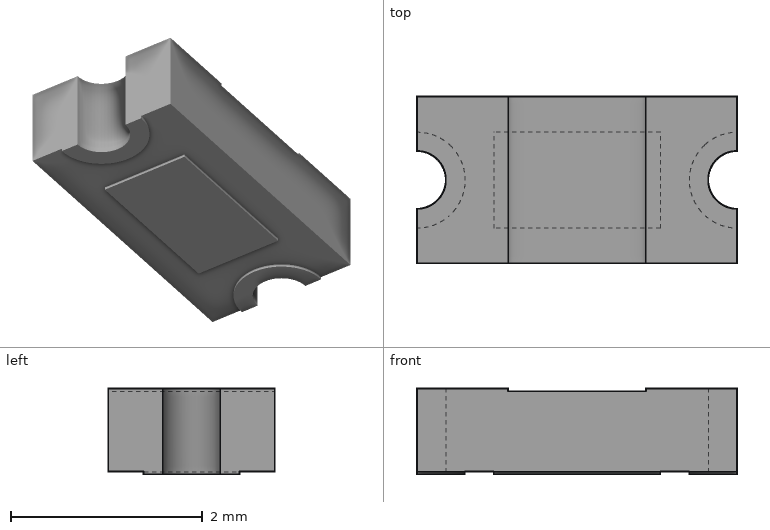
import cadquery as cq

length = 3.34
width = 1.74
height = 0.9

pad_thickness = 0.03
recess_depth = 0.03
recess_length = 1.44
notch_radius = 0.3
land_radius = 0.5
center_pad_length = 1.74
center_pad_width = 2 * land_radius

body_height = height - pad_thickness


def end_cylinders(radius, cylinder_height):
    """Upright cylinders centered on the middle of both end faces."""
    return (
        cq.Workplane("XY")
        .pushPoints([(-length / 2, 0), (length / 2, 0)])
        .circle(radius)
        .extrude(cylinder_height)
    )


def plate(plate_length, plate_width, thickness, bottom):
    """Centered rectangular plate whose underside is at the given height."""
    return (
        cq.Workplane("XY")
        .box(plate_length, plate_width, thickness, centered=(True, True, False))
        .translate((0, 0, bottom))
    )


body = plate(length, width, body_height, pad_thickness)
body = body.cut(plate(recess_length, width, recess_depth, height - recess_depth))

end_lands = end_cylinders(land_radius, pad_thickness).intersect(plate(length, width, height, 0))
center_pad = plate(center_pad_length, center_pad_width, pad_thickness, 0)

result = body.union(end_lands).union(center_pad).cut(end_cylinders(notch_radius, height))